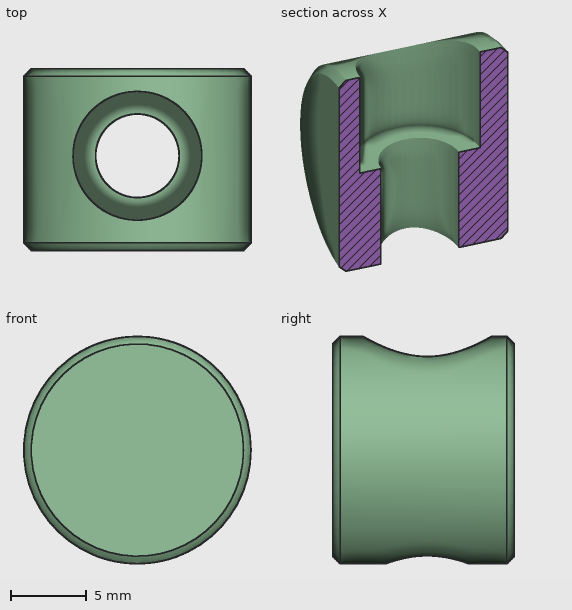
import cadquery as cq

barrel_diameter = 15.0
barrel_length = 12.0
end_chamfer = 0.5

hole_diameter = 5.5
counterbore_diameter = 8.5
hole_offset_y = 0.25
counterbore_floor_z = 0.0

barrel_radius = barrel_diameter / 2


def make_barrel():
    """Round bar centred on the origin, chamfered at both ends."""
    rear_end = cq.Workplane("XZ", origin=(0, barrel_length / 2, 0))
    bar = rear_end.circle(barrel_radius).extrude(barrel_length)
    return bar.faces("<Y or >Y").edges().chamfer(end_chamfer)


def vertical_bore(diameter, bottom_z):
    """Cutting cylinder from bottom_z up to the top of the barrel."""
    return (
        cq.Workplane("XY", origin=(0, hole_offset_y, bottom_z))
        .circle(diameter / 2)
        .extrude(barrel_radius - bottom_z)
    )


through_hole = vertical_bore(hole_diameter, -barrel_radius)
counterbore = vertical_bore(counterbore_diameter, counterbore_floor_z)

result = make_barrel().cut(through_hole).cut(counterbore)